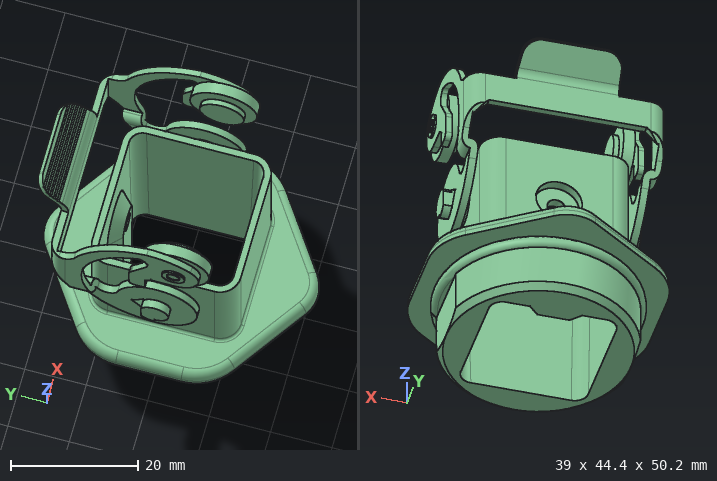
import cadquery as cq
import math

NUT_RADIUS = 16.1
NUT_FLAT = 15.05
NUT_CHAMFER = 1.05
FLANGE_BOTTOM = 10.05
FLANGE_TOP = 12.55
SEAL_RADIUS = 1.05
SEAL_OUTER_RADIUS = 16.95
FLANGE_HALF_WIDTH = 19.5
FLANGE_TIP = 22.2
FLANGE_SLOPE = 34.4
FLANGE_TIP_RADIUS = 6.0
FLANGE_SIDE_RADIUS = 9.15
FLANGE_EDGE_FILLET = 1.55
SLEEVE_HALF = 12.1
SLEEVE_TOP = 31.95
SLEEVE_CORNER = 3.35
SLEEVE_ROOT_FILLET = 0.5
ROOT_MARGIN = 0.05
BORE_HALF_TOP = 10.95
BORE_HALF_BOTTOM = 10.4
BORE_CORNER = 2.2

PILLAR_FACE = 8.75
PILLAR_HALF = 2.6
SCREW_Z = 20.95
SCREW_RADIUS = 1.45
SCREW_HEAD_RADIUS = 3.75
SCREW_HEAD_DEPTH = 1.65

STRAP_THICKNESS = 1.2
LEVER_HALF = 16.25
LEVER_BACK = 17.25
STRAP_INNER = LEVER_BACK - STRAP_THICKNESS
LEVER_BEND = 2.75
ARM_INNER = 15.15
DISC_OUTER = 14.7
DISC_INNER = 13.4
LEVER_FRONT = -10.05
LEVER_CLEARANCE = 0.5
JOG_TOP = 29.5
JOG_FRONT = 8.8
STRAP_TOP = 39.95
STRAP_BOTTOM = 34.55
STRAP_CUT_HALF = 12.85
PIVOT_Z = 26.45
DISC_RADIUS = 6.6
HOOK_Y = -3.2
HOOK_Z = 44.5
HOOK_RADIUS = 4.05

TAB_ROOT_HALF = 8.5
TAB_HALF = 7.9
TAB_TILT = 39.5
TAB_BEND_Z = 40.15
TAB_BEND_RADIUS = 1.85
TAB_LENGTH = 5.0
TAB_CORNER = 2.9
GROOVE_COUNT = 5
GROOVE_PITCH = 0.8
FIRST_GROOVE = 0.65
GROOVE_TREAD = 0.3

PIN_END = 16.1
PIN_EMBED = 0.5
PIN_RADIUS = 2.3
PIN_LOBE_RADIUS = 2.9
PIN_FLAT = 2.15
SHOULDER_RADIUS = 2.6
SHOULDER_CONE_START = 12.75
SHOULDER_ROOT_RADIUS = 3.2
KEY_TIP = 4.05
KEY_RISE = 1.35
KEY_DROP = 2.25
ROLLER_RADIUS = 5.45
ROLLER_INNER = 13.25
NECK_RADIUS = 2.75
HEAD_OUTER = 13.05
HEAD_INNER = 12.15
HEAD_RADIUS = 3.6
RIVET_END = 16.55
RIVET_RADIUS = 1.85
RIVET_DIMPLE_RADIUS = 1.05
RIVET_DIMPLE_DEPTH = 0.15


def box(x0, x1, y0, y1, z0, z1):
    return cq.Workplane("XY").box(x1 - x0, y1 - y0, z1 - z0, centered=False).translate((x0, y0, z0))


def disc_x(radius, x0, x1, y, z):
    """Cylinder along X between x0 and x1."""
    return cq.Workplane("YZ", origin=(x0, 0, 0)).center(y, z).circle(radius).extrude(x1 - x0)


def both_sides(shape):
    return shape.union(shape.mirror("YZ"))


def nut_body():
    body = cq.Workplane("XY").circle(NUT_RADIUS).extrude(FLANGE_BOTTOM)
    body = body.faces("<Z").chamfer(NUT_CHAMFER)
    body = body.intersect(box(-NUT_FLAT, NUT_FLAT, -NUT_RADIUS, NUT_RADIUS, 0, FLANGE_BOTTOM))
    ring_x = SEAL_RADIUS - SEAL_OUTER_RADIUS
    ring_bottom = FLANGE_BOTTOM - 2 * SEAL_RADIUS
    ring = (
        cq.Workplane("XZ")
        .moveTo(ring_x, FLANGE_BOTTOM)
        .threePointArc((-SEAL_OUTER_RADIUS, FLANGE_BOTTOM - SEAL_RADIUS), (ring_x, ring_bottom))
        .lineTo(0, ring_bottom)
        .lineTo(0, FLANGE_BOTTOM)
        .close()
        .revolve(360, (0, 0), (0, 1))
    )
    return body.union(ring)


def flange():
    slope = math.radians(FLANGE_SLOPE)
    tip = FLANGE_TIP + FLANGE_TIP_RADIUS * (1 / math.cos(slope) - 1)
    shoulder = tip - FLANGE_HALF_WIDTH * math.tan(slope)
    w = FLANGE_HALF_WIDTH
    corners = [(0, tip), (w, shoulder), (w, -shoulder), (0, -tip), (-w, -shoulder), (-w, shoulder)]
    plate = cq.Workplane("XY", origin=(0, 0, FLANGE_BOTTOM)).polyline(corners).close()
    plate = plate.extrude(FLANGE_TOP - FLANGE_BOTTOM)
    plate = plate.edges("|Z and (>Y or <Y)").fillet(FLANGE_TIP_RADIUS)
    plate = plate.edges("|Z and (>X or <X)").fillet(FLANGE_SIDE_RADIUS)
    return plate.faces(">Z").edges().fillet(FLANGE_EDGE_FILLET)


def sleeve():
    side = 2 * SLEEVE_HALF
    tube = cq.Workplane("XY", origin=(0, 0, FLANGE_BOTTOM)).rect(side, side)
    tube = tube.extrude(SLEEVE_TOP - FLANGE_BOTTOM)
    return tube.edges("|Z").fillet(SLEEVE_CORNER)


def bore():
    """Square opening through the whole housing, narrowing slightly toward the bottom."""
    top = cq.Sketch().rect(2 * BORE_HALF_TOP, 2 * BORE_HALF_TOP).vertices().fillet(BORE_CORNER)
    bottom = cq.Sketch().rect(2 * BORE_HALF_BOTTOM, 2 * BORE_HALF_BOTTOM).vertices().fillet(BORE_CORNER)
    return cq.Workplane("XY").placeSketch(bottom, top.moved(cq.Location((0, 0, SLEEVE_TOP)))).loft()


def screw_pillar():
    """Pillar with 45-degree flanks and a conical top, running down the +Y wall."""
    wall = (SLEEVE_HALF + BORE_HALF_TOP) / 2
    root = PILLAR_HALF + wall - PILLAR_FACE
    section = [(-root, wall), (root, wall), (PILLAR_HALF, PILLAR_FACE), (-PILLAR_HALF, PILLAR_FACE)]
    shaft = cq.Workplane("XY").polyline(section).close().extrude(SCREW_Z)
    cone = cq.Workplane("XY", origin=(0, 0, SCREW_Z)).moveTo(0, wall).lineTo(root, wall)
    cone = cone.lineTo(PILLAR_HALF, PILLAR_FACE).lineTo(0, PILLAR_FACE).close()
    cone = cone.revolve(360, (0, 0), (0, 1))
    return shaft.union(cone)


def screw_hole():
    outside = cq.Workplane("XZ", origin=(0, SLEEVE_HALF, SCREW_Z))
    hole = outside.circle(SCREW_RADIUS).extrude(SLEEVE_HALF - PILLAR_FACE)
    return hole.union(outside.circle(SCREW_HEAD_RADIUS).extrude(SCREW_HEAD_DEPTH))


def housing():
    body = flange().union(sleeve())
    reach = SLEEVE_HALF + ROOT_MARGIN
    root = cq.selectors.BoxSelector(
        (-reach, -reach, FLANGE_TOP - ROOT_MARGIN),
        (reach, reach, FLANGE_TOP + ROOT_MARGIN),
    )
    body = body.edges(root).fillet(SLEEVE_ROOT_FILLET)
    body = body.union(nut_body()).cut(bore())
    return body.union(screw_pillar()).cut(screw_hole())


def lever_profile():
    """Side outline of the lever in the YZ plane: hook, curved arm, pivot disc and strap."""
    outline = (
        cq.Workplane("YZ", origin=(-LEVER_HALF, 0, 0))
        .moveTo(LEVER_BACK, STRAP_TOP)
        .lineTo(15.55, STRAP_TOP)
        .threePointArc((14.25, 40.25), (13.05, 41.25))
        .threePointArc((8.2, 47.4), (1.2, 50.15))
        .threePointArc((-2.75, 49.4), (-5.9, 47.55))
        .threePointArc((HOOK_Y - HOOK_RADIUS, HOOK_Z), (HOOK_Y, HOOK_Z - HOOK_RADIUS))
        .lineTo(0.55, HOOK_Z - HOOK_RADIUS)
        .lineTo(1.45, 39.6)
        .lineTo(1.45, 36.8)
        .lineTo(3.1, 36.8)
        .threePointArc((3.75, 37.1), (4.05, 37.75))
        .lineTo(4.05, 40.9)
        .threePointArc((3.95, 41.4), (3.7, 41.85))
        .lineTo(1.4, 45.05)
        .threePointArc((1.05, 46.15), (1.8, 47.4))
        .threePointArc((2.3, 47.7), (2.9, 47.55))
        .threePointArc((9.05, 43.25), (11.8, 35.35))
        .threePointArc((11.45, 31.95), (9.65, 27.7))
        .threePointArc((8.15, 26.9), (6.35, 28.2))
        .threePointArc((0, PIVOT_Z + DISC_RADIUS), (-DISC_RADIUS, PIVOT_Z))
        .threePointArc((-4.5, 21.6), (1.4, 19.8))
        .threePointArc((6.75, 21.45), (12.0, 26.65))
        .lineTo(14.5, 30.55)
        .lineTo(LEVER_BACK, 33.9)
        .close()
    )
    return outline.extrude(2 * LEVER_HALF)


def bent_sheet():
    """Space filled by the sheet: U-shaped arms and strap, turned-in necks and pivot discs."""
    front = LEVER_FRONT
    top = HOOK_Z + 2 * HOOK_RADIUS
    outer = box(-LEVER_HALF, LEVER_HALF, front, LEVER_BACK, JOG_TOP, top)
    outer = outer.edges("|Z and >Y").fillet(LEVER_BEND)
    inner = box(-ARM_INNER, ARM_INNER, front, STRAP_INNER, JOG_TOP, top)
    disc_top = PIVOT_Z + DISC_RADIUS + LEVER_CLEARANCE
    arms = outer.cut(inner).cut(box(-LEVER_HALF, LEVER_HALF, front, JOG_FRONT, JOG_TOP, disc_top))

    jog = LEVER_HALF - DISC_OUTER
    jog_bottom = JOG_TOP - jog
    neck = DISC_OUTER - DISC_INNER
    neck_top = jog_bottom + neck
    diagonal = math.sqrt(0.5)
    disc = box(DISC_INNER, DISC_OUTER, front, JOG_FRONT, 0, disc_top)
    disc = disc.union(box(DISC_INNER, DISC_OUTER, front, LEVER_BACK, 0, jog_bottom))
    step = (
        cq.Workplane("XZ", origin=(0, LEVER_BACK, 0))
        .moveTo(LEVER_HALF, JOG_TOP)
        .threePointArc((DISC_OUTER + jog * diagonal, JOG_TOP - jog * diagonal), (DISC_OUTER, jog_bottom))
        .lineTo(DISC_INNER, jog_bottom)
        .threePointArc((DISC_OUTER - neck * diagonal, jog_bottom + neck * diagonal), (DISC_OUTER, neck_top))
        .lineTo(ARM_INNER, neck_top)
        .lineTo(ARM_INNER, JOG_TOP)
        .close()
        .extrude(LEVER_BACK - JOG_FRONT)
    )
    return arms.union(both_sides(disc.union(step)))


def strap_opening():
    """Clearance below the strap, with 45-degree corners running into the arms."""
    corner = STRAP_BOTTOM - (ARM_INNER - STRAP_CUT_HALF)
    points = [
        (-STRAP_CUT_HALF, STRAP_BOTTOM), (STRAP_CUT_HALF, STRAP_BOTTOM),
        (ARM_INNER, corner), (ARM_INNER, JOG_TOP + LEVER_CLEARANCE),
        (-ARM_INNER, JOG_TOP + LEVER_CLEARANCE), (-ARM_INNER, corner),
    ]
    opening = cq.Workplane("XZ", origin=(0, LEVER_BACK, 0)).polyline(points).close()
    return opening.extrude(LEVER_BEND + LEVER_CLEARANCE)


def finger_tab():
    """Tab bent backward from the strap, with cross grooves on its upper face."""
    tilt = math.radians(TAB_TILT)
    along = (math.cos(tilt), math.sin(tilt))
    across = (-math.sin(tilt), math.cos(tilt))
    centre_y = LEVER_BACK + TAB_BEND_RADIUS
    outer_radius = TAB_BEND_RADIUS + STRAP_THICKNESS

    def on_bend(radius, share):
        turn = share * (math.pi / 2 - tilt)
        return (centre_y - radius * math.cos(turn), TAB_BEND_Z + radius * math.sin(turn))

    def ahead(point, distance):
        return (point[0] + distance * along[0], point[1] + distance * along[1])

    upper = on_bend(outer_radius, 1)
    lower = on_bend(TAB_BEND_RADIUS, 1)
    tab = (
        cq.Workplane("YZ", origin=(-TAB_ROOT_HALF, 0, 0))
        .moveTo(STRAP_INNER, STRAP_TOP - STRAP_THICKNESS)
        .lineTo(STRAP_INNER, TAB_BEND_Z)
        .threePointArc(on_bend(outer_radius, 0.5), upper)
        .lineTo(*ahead(upper, TAB_LENGTH))
        .lineTo(*ahead(lower, TAB_LENGTH))
        .lineTo(*lower)
        .threePointArc(on_bend(TAB_BEND_RADIUS, 0.5), (LEVER_BACK, TAB_BEND_Z))
        .lineTo(LEVER_BACK, STRAP_TOP - STRAP_THICKNESS)
        .close()
        .extrude(2 * TAB_ROOT_HALF)
    )

    for i in range(GROOVE_COUNT):
        start = ahead(upper, FIRST_GROOVE + i * GROOVE_PITCH)
        corner = (start[0] + GROOVE_TREAD, start[1])
        end = ahead(start, GROOVE_TREAD / along[0])
        groove = cq.Workplane("YZ", origin=(-TAB_ROOT_HALF, 0, 0))
        groove = groove.polyline([start, corner, end]).close()
        tab = tab.cut(groove.extrude(2 * TAB_ROOT_HALF))

    plane = cq.Plane(origin=(0, *lower), xDir=(1, 0, 0), normal=(0, *across))
    root_y = -2 * outer_radius
    face = (
        cq.Workplane(plane)
        .polyline([
            (-TAB_ROOT_HALF, root_y), (-TAB_ROOT_HALF, -outer_radius), (-TAB_HALF, TAB_LENGTH),
            (TAB_HALF, TAB_LENGTH), (TAB_ROOT_HALF, -outer_radius), (TAB_ROOT_HALF, root_y),
        ])
        .close()
        .extrude(2 * outer_radius, both=True)
        .edges(cq.selectors.ParallelDirSelector(cq.Vector(0, *across)))
        .edges(">Y")
        .fillet(TAB_CORNER)
    )
    return tab.intersect(face)


def lever():
    sheet = lever_profile().intersect(bent_sheet()).cut(strap_opening())
    key_hole = (
        cq.Workplane("YZ", origin=(DISC_INNER, 0, 0))
        .polyline([(KEY_TIP, PIVOT_Z), (PIN_FLAT, PIVOT_Z + KEY_RISE), (PIN_FLAT, PIVOT_Z - KEY_DROP)])
        .close()
        .extrude(DISC_OUTER - DISC_INNER)
    )
    return sheet.cut(both_sides(key_hole)).union(finger_tab())


def pivot_pin():
    """Stepped pin on the +X side, flattened toward +Y, with a wider lower rear quarter."""
    pin = disc_x(PIN_RADIUS, SLEEVE_HALF - PIN_EMBED, PIN_END, 0, PIVOT_Z)
    lobe = disc_x(PIN_LOBE_RADIUS, DISC_INNER, PIN_END, 0, PIVOT_Z)
    lobe = lobe.intersect(box(0, PIN_END, 0, PIN_LOBE_RADIUS, PIVOT_Z - PIN_LOBE_RADIUS, PIVOT_Z))
    shoulder = disc_x(SHOULDER_RADIUS, SLEEVE_HALF, DISC_INNER, 0, PIVOT_Z)
    pin = pin.union(lobe).union(shoulder)
    pin = pin.cut(box(SLEEVE_HALF, PIN_END, PIN_FLAT, SLEEVE_HALF, 0, SLEEVE_TOP))
    cone = cq.Workplane("YZ", origin=(SLEEVE_HALF, 0, PIVOT_Z)).circle(SHOULDER_ROOT_RADIUS)
    cone = cone.workplane(offset=SHOULDER_CONE_START - SLEEVE_HALF).circle(SHOULDER_RADIUS).loft()
    return pin.union(cone)


def hook_roller():
    """Roller on the inside of the +X hook with its rivet through the hook head."""
    roller = disc_x(ROLLER_RADIUS, ROLLER_INNER, ARM_INNER, HOOK_Y, HOOK_Z)
    neck = disc_x(NECK_RADIUS, HEAD_INNER, ARM_INNER, HOOK_Y, HOOK_Z)
    head = disc_x(HEAD_RADIUS, HEAD_INNER, HEAD_OUTER, HOOK_Y, HOOK_Z)
    rivet = disc_x(RIVET_RADIUS, ARM_INNER, RIVET_END, HOOK_Y, HOOK_Z)
    dimple = disc_x(RIVET_DIMPLE_RADIUS, RIVET_END - RIVET_DIMPLE_DEPTH, RIVET_END, HOOK_Y, HOOK_Z)
    return roller.union(neck).union(head).union(rivet.cut(dimple))


result = housing().union(lever()).union(both_sides(pivot_pin())).union(both_sides(hook_roller()))